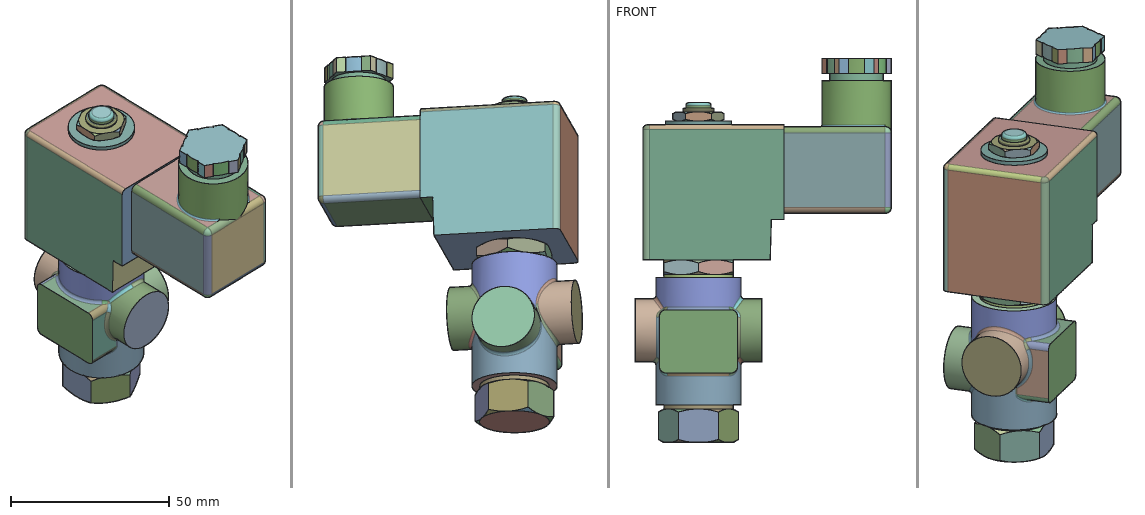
import cadquery as cq
import math


body_diameter = 27.0
body_bottom = 11.9
body_top = 52.2
port_diameter = 20.0
port_reach = 20.0
side_port_height = 35.5
rear_port_height = 28.5
block_width = 24.6
block_bottom = 22.0
block_top = 41.9
block_front = 16.3
block_corner_radius = 2.0
blend_radius = 1.0
seam_margin = 1.2

hex_flats = 22.0
shoulder_diameter = 22.0
bottom_nut_top = 10.6
upper_nut_bottom = 53.0
hex_chamfer_diameter = 22.1
chamfer_angle = math.radians(30)
turning_clearance = 0.1

coil_left = -17.6
coil_right = 27.1
coil_width = 35.6
coil_bottom = 57.7
coil_top = 100.4
coil_side_radius = 2.1
coil_top_radius = 1.5
step_height = 70.4
step_top_x = 23.1
step_bottom_x = 22.7

washer_diameter = 21.0
washer_top = 101.6
coil_nut_flats = 14.1
coil_nut_top = 104.4
coil_nut_chamfer_diameter = 14.5
collar_diameter = 10.0
collar_top = 105.6
collar_radius = 0.5
stud_diameter = 8.0
stud_top = 107.4
stud_radius = 1.0

connector_right = 61.0
connector_width = 27.1
connector_bottom = 72.4
connector_top = 99.8
connector_radius = 2.0
gland_diameter = 22.0
gland_x = connector_right - gland_diameter / 2
gland_top = 114.4
gland_foot_radius = 0.5
cap_neck_diameter = 17.0
cap_bottom = 116.5
cap_top = 121.4
cap_flats = 19.0
cap_pad_half_width = 2.5


def cylinder(diameter, bottom, top, x=0):
    """Upright cylinder between two heights."""
    return cq.Workplane("XY", origin=(x, 0, bottom)).circle(diameter / 2).extrude(top - bottom)


def hexagon(flats, bottom, top, turn=0, x=0):
    """Upright hexagonal prism with corners on X, turned about its axis by an angle in degrees."""
    corners = flats / math.cos(math.pi / 6)
    prism = cq.Workplane("XY").polygon(6, corners).extrude(top - bottom)
    return prism.rotate((0, 0, 0), (0, 0, 1), turn).translate((x, 0, bottom))


def chamfered_nut(flats, face_diameter, bottom, top, turn=0):
    """Hexagonal nut whose corners are turned down to a cone at both ends."""
    face_radius = face_diameter / 2
    outer_radius = flats / math.cos(math.pi / 6) / 2 + turning_clearance
    drop = (outer_radius - face_radius) * math.tan(chamfer_angle)
    envelope = (
        cq.Workplane("XZ")
        .polyline([
            (0, bottom),
            (face_radius, bottom),
            (outer_radius, bottom + drop),
            (outer_radius, top - drop),
            (face_radius, top),
            (0, top),
        ])
        .close()
        .revolve(360, (0, 0, 0), (0, 1, 0))
    )
    return hexagon(flats, bottom, top, turn).intersect(envelope)


def valve_body():
    """Round body with two side ports, a rear port and a rounded front block, blended together."""
    barrel = cylinder(body_diameter, body_bottom, body_top)
    side_ports = (
        cq.Workplane("YZ", origin=(-port_reach, 0, side_port_height))
        .circle(port_diameter / 2)
        .extrude(2 * port_reach)
    )
    rear_port = (
        cq.Workplane("XZ", origin=(0, 0, rear_port_height))
        .circle(port_diameter / 2)
        .extrude(-port_reach)
    )
    block = (
        cq.Workplane("XZ", origin=(0, 0, (block_bottom + block_top) / 2))
        .rect(block_width, block_top - block_bottom)
        .extrude(block_front)
        .edges("|Y")
        .fillet(block_corner_radius)
    )
    seam_box = cq.selectors.BoxSelector(
        (-port_reach + seam_margin, -block_front + seam_margin, body_bottom + seam_margin),
        (port_reach - seam_margin, port_reach - seam_margin, body_top - seam_margin),
    )

    def blend_seams(solid):
        return solid.edges(seam_box).edges("not %LINE").fillet(blend_radius)

    crossing = blend_seams(barrel.union(side_ports).union(block))
    return crossing.union(blend_seams(barrel.union(rear_port)))


def valve_nuts():
    """Bottom nut and upper nut with the round shoulders that join them to the body."""
    bottom_nut = chamfered_nut(hex_flats, hex_chamfer_diameter, 0, bottom_nut_top)
    lower_shoulder = cylinder(shoulder_diameter, bottom_nut_top, body_bottom)
    upper_shoulder = cylinder(shoulder_diameter, body_top, upper_nut_bottom)
    upper_nut = chamfered_nut(hex_flats, hex_chamfer_diameter, upper_nut_bottom, coil_bottom, 90)
    return bottom_nut.union(lower_shoulder).union(upper_shoulder).union(upper_nut)


def coil():
    """Coil housing with a stepped right side and rounded left and top edges."""
    housing = (
        cq.Workplane("XZ", origin=(0, coil_width / 2, 0))
        .polyline([
            (coil_left, coil_bottom),
            (step_bottom_x, coil_bottom),
            (step_top_x, step_height),
            (coil_right, step_height),
            (coil_right, coil_top),
            (coil_left, coil_top),
        ])
        .close()
        .extrude(coil_width)
    )
    housing = housing.faces("<X").edges("|Z").fillet(coil_side_radius)
    return housing.faces(">Z").edges("not >X").fillet(coil_top_radius)


def coil_fastening():
    """Washer, nut, rounded collar and stud that hold the coil."""
    washer = cylinder(washer_diameter, coil_top, washer_top)
    nut = chamfered_nut(coil_nut_flats, coil_nut_chamfer_diameter, washer_top, coil_nut_top)
    collar = cylinder(collar_diameter, coil_nut_top, collar_top).edges().fillet(collar_radius)
    stud = cylinder(stud_diameter, washer_top, stud_top).edges(">Z").fillet(stud_radius)
    return washer.union(nut).union(collar).union(stud)


def connector():
    """Connector box, its cable gland and the flared foot of the gland."""
    length = connector_right - coil_right
    height = connector_top - connector_bottom
    box = (
        cq.Workplane("XY", origin=(coil_right, 0, connector_bottom))
        .box(length, connector_width, height, centered=(False, True, False))
        .edges("|X or >X")
        .fillet(connector_radius)
    )
    gland = cylinder(gland_diameter, connector_top - connector_radius, gland_top, gland_x)

    gland_radius = gland_diameter / 2
    foot = (
        cq.Workplane("XZ", origin=(gland_x, 0, connector_top))
        .lineTo(gland_radius + gland_foot_radius, 0)
        .radiusArc((gland_radius, gland_foot_radius), gland_foot_radius)
        .lineTo(0, gland_foot_radius)
        .close()
        .revolve(360, (0, 0, 0), (0, 1, 0))
    )
    flat_top = cq.Workplane("XY", origin=(coil_right, 0, connector_top)).box(
        length - connector_radius, connector_width, gland_foot_radius, centered=(False, True, False)
    )
    return box.union(gland).union(foot.intersect(flat_top))


def gland_cap():
    """Hexagonal cap on a round neck; each flat has a shallow round pad set in its middle."""
    neck = cylinder(cap_neck_diameter, gland_top, cap_bottom, gland_x)
    cap = hexagon(cap_flats, cap_bottom, cap_top, x=gland_x)
    pad_round = cylinder(cap_flats, cap_bottom, cap_top, gland_x)
    for turn in (0, 60, 120):
        band = (
            cq.Workplane("XY", origin=(0, 0, cap_bottom))
            .rect(2 * cap_pad_half_width, 2 * cap_flats)
            .extrude(cap_top - cap_bottom)
            .rotate((0, 0, 0), (0, 0, 1), turn)
            .translate((gland_x, 0, 0))
        )
        cap = cap.cut(band.cut(pad_round))
    return neck.union(cap)


result = (
    valve_body()
    .union(valve_nuts())
    .union(coil())
    .union(coil_fastening())
    .union(connector())
    .union(gland_cap())
)